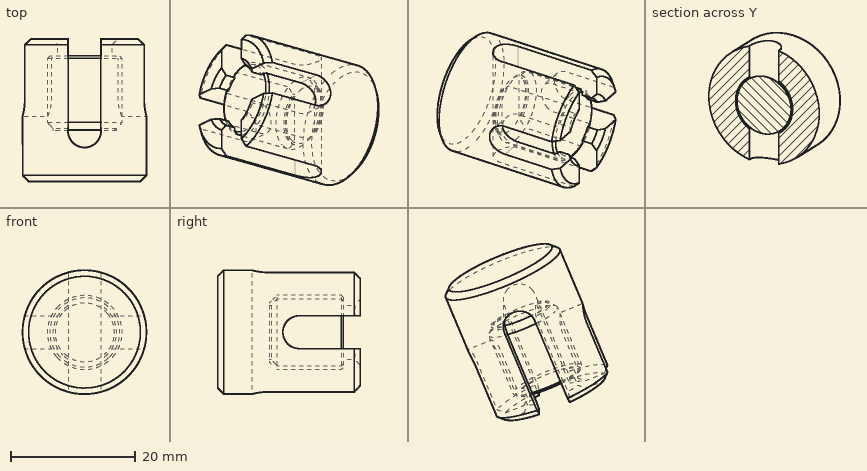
import cadquery as cq

length = 23.0
outer_diameter = 20.0
edge_chamfer = 1.0

slot_width = 5.3
z_slot_depth = 17.5
x_slot_depth = 12.5

bore_diameter = 10.2

screw_diameter = 12.0
screw_length = 12.0
screw_recess = 2.71
screw_back_chamfer = 0.4
screw_tip_chamfer = 1.25

screw_back = length - screw_recess
screw_tip = screw_back - screw_length
mouth_diameter = screw_diameter


def make_cylinder(diameter, start, end):
    """Cylinder along +Y between two Y positions."""
    plane = cq.Workplane("XZ", origin=(0, start, 0))
    return plane.circle(diameter / 2).extrude(start - end)


def make_slot(sketch_plane, depth):
    """Slot through the full diameter, running in from the back with a round end."""
    half_width = slot_width / 2
    slot_end = length - depth
    arc_start = slot_end + half_width
    return (
        cq.Workplane(sketch_plane)
        .moveTo(-half_width, length)
        .lineTo(-half_width, arc_start)
        .threePointArc((0, slot_end), (half_width, arc_start))
        .lineTo(half_width, length)
        .close()
        .extrude(outer_diameter, both=True)
    )


def make_bore():
    """Blind bore with a 45 degree conical mouth at the back."""
    bore_radius = bore_diameter / 2
    mouth_radius = mouth_diameter / 2
    mouth_start = length - (mouth_radius - bore_radius)
    return (
        cq.Workplane("XY")
        .moveTo(0, screw_tip)
        .lineTo(bore_radius, screw_tip)
        .lineTo(bore_radius, mouth_start)
        .lineTo(mouth_radius, length)
        .lineTo(0, length)
        .close()
        .revolve(360, (0, 0, 0), (0, 1, 0))
    )


def make_screw():
    """Plain cylinder with a chamfer at each end."""
    screw = make_cylinder(screw_diameter, screw_tip, screw_back)
    screw = screw.faces(">Y").chamfer(screw_back_chamfer)
    return screw.faces("<Y").chamfer(screw_tip_chamfer)


def make_housing(screw):
    """Bored and cross-slotted cylinder with a recess that fits the screw."""
    body = make_cylinder(outer_diameter, 0, length)
    body = body.faces("<Y or >Y").chamfer(edge_chamfer)
    body = body.cut(make_bore()).cut(screw)
    body = body.cut(make_slot(cq.Plane.XY(), z_slot_depth))
    across_x = cq.Plane(origin=(0, 0, 0), xDir=(0, 0, 1), normal=(-1, 0, 0))
    return body.cut(make_slot(across_x, x_slot_depth))


set_screw = make_screw()
housing = make_housing(set_screw)
result = cq.Compound.makeCompound([housing.solids().val(), set_screw.solids().val()])